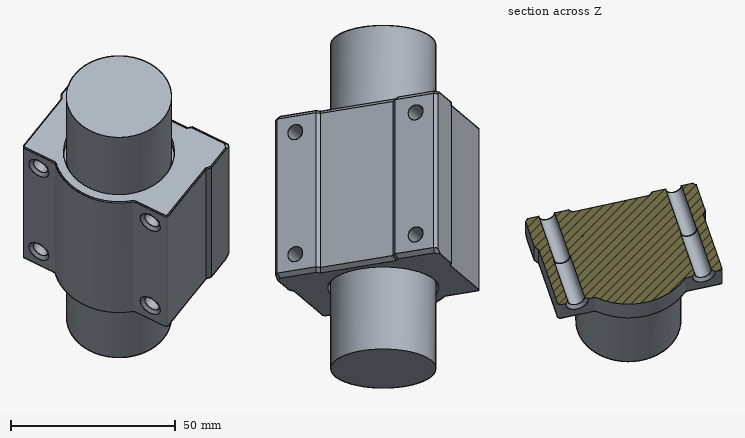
import cadquery as cq

shaft_diameter = 32.0
shaft_length = 106.0

housing_length = 53.0
back_y = 21.0
front_y = -14.0
bulge_radius = 19.9
foot_half_width = 54.0 / 2
waist_half_width = 26.0
foot_side_length = 11.1
waist_setback = 12.7

relief_depth = 1.1
relief_half_width = 13.1

back_corner_chamfer = 1.0
back_end_chamfer = 1.3
top_edge_chamfer = 0.3
front_corner_radius = 1.0
bulge_root_radius = 1.5

gap_diameter = 33.7
gap_depth = 3.0

hole_spacing = 40.0
front_hole_diameter = 5.2
back_hole_diameter = 4.9
front_hole_depth = (back_y - front_y) / 2
countersink_diameter = 7.2
countersink_depth = (countersink_diameter - front_hole_diameter) / 2

half_length = housing_length / 2
margin = 0.05


def edges_in_box(body, y_range, z_range):
    """Edges centred within the Y and Z ranges, over the full width."""
    low = (-foot_half_width - margin, y_range[0] - margin, z_range[0] - margin)
    high = (foot_half_width + margin, y_range[1] + margin, z_range[1] + margin)
    return body.edges(cq.selectors.BoxSelector(low, high))


def make_block():
    """Flanged block and front bulge with their lengthwise edges rounded."""
    right_side = [
        (relief_half_width - relief_depth, back_y - relief_depth),
        (relief_half_width, back_y),
        (foot_half_width - back_corner_chamfer, back_y),
        (foot_half_width, back_y - back_corner_chamfer),
        (foot_half_width, back_y - foot_side_length),
        (waist_half_width, back_y - waist_setback),
        (waist_half_width, front_y),
    ]
    left_side = [(-x, y) for x, y in reversed(right_side)]

    bottom = cq.Workplane("XY").workplane(offset=-half_length)
    flanges = bottom.polyline(right_side + left_side).close().extrude(housing_length)
    bulge = bottom.circle(bulge_radius).extrude(housing_length)
    block = flanges.union(bulge)

    front_edges = (front_y, front_y)
    block = edges_in_box(block, front_edges, (0, 0)).edges("<X or >X").fillet(front_corner_radius)
    return edges_in_box(block, front_edges, (0, 0)).fillet(bulge_root_radius)


def chamfer_ends(block):
    """Wide chamfer along the back of both ends, narrow one round the rest of the top."""
    back_zone = (back_y - max(relief_depth, back_corner_chamfer), back_y)
    for end_z in (-half_length, half_length):
        block = edges_in_box(block, back_zone, (end_z, end_z)).chamfer(back_end_chamfer)

    front_zone = (-bulge_radius, back_y - foot_side_length / 2)
    return edges_in_box(block, front_zone, (half_length, half_length)).chamfer(top_edge_chamfer)


def cut_mounting_holes(block):
    """Four countersunk holes along Y, narrower on the mounting face side."""
    front_face = cq.Workplane("XZ", origin=(0, front_y, 0))
    back_face = cq.Workplane("XZ", origin=(0, back_y, 0))
    through = back_y - front_y

    countersink = cq.Solid.makeCone(
        countersink_diameter / 2,
        front_hole_diameter / 2,
        countersink_depth,
        dir=cq.Vector(0, 0, -1),
    )

    def at_corners(face):
        return face.rect(hole_spacing, hole_spacing, forConstruction=True).vertices()

    narrow = at_corners(back_face).circle(back_hole_diameter / 2).extrude(through)
    wide = at_corners(front_face).circle(front_hole_diameter / 2).extrude(-front_hole_depth)
    sinks = at_corners(front_face).eachpoint(lambda place: countersink.moved(place), True)
    return block.cut(narrow).cut(wide).cut(sinks)


def cut_shaft_gaps(block):
    """Shallow round recess in each end, leaving a ring around the shaft."""
    gap = cq.Workplane("XY").circle(gap_diameter / 2).extrude(gap_depth)
    top_gap = gap.translate((0, 0, half_length - gap_depth))
    bottom_gap = gap.translate((0, 0, -half_length))
    return block.cut(top_gap).cut(bottom_gap)


shaft = cq.Workplane("XY").circle(shaft_diameter / 2).extrude(shaft_length / 2, both=True)
housing = cut_shaft_gaps(cut_mounting_holes(chamfer_ends(make_block())))
result = housing.union(shaft)